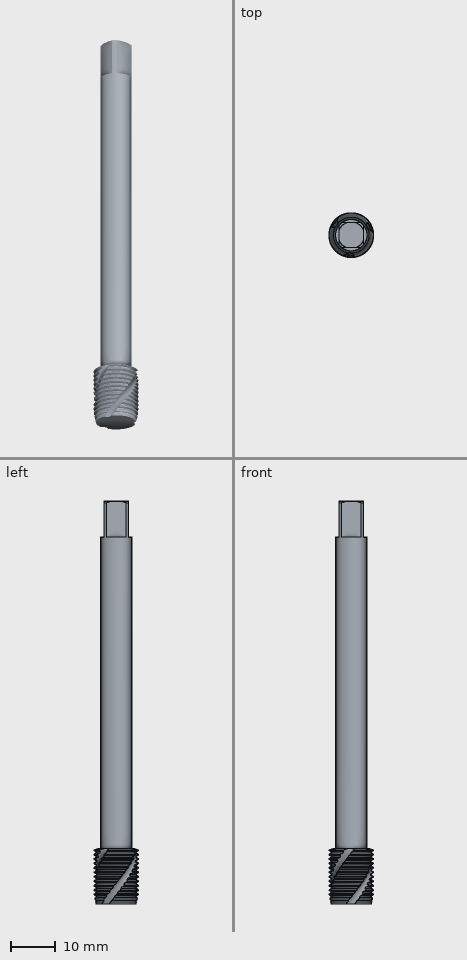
import cadquery as cq
import math

total_length = 90.0

shank_diameter = 7.0
drive_width = 5.6
drive_length = 8.0
drive_chamfer_height = 0.4
drive_chamfer_inset = 0.5

head_length = 12.4
thread_diameter = 10.0
thread_root_diameter = 9.0
thread_pitch = 1.0
thread_crest_width = 0.13
thread_half_angle = 30.0
shoulder_diameter = 8.0
shoulder_cone_height = 0.4
lead_cone_height = 2.5

flute_count = 3
flute_depth = 1.1
flute_radius = 1.2
flute_twist = 120.0
flute_start_angle = -93.0
flute_overrun = 0.9


def make_shank():
    """Round shank standing on the head, with a square drive on top."""
    length = total_length - head_length
    radius = shank_diameter / 2
    shank = (
        cq.Workplane("XY", origin=(0, 0, head_length))
        .circle(radius)
        .extrude(length)
        .faces(">Z")
        .chamfer(drive_chamfer_height, drive_chamfer_inset)
    )
    drive_flats = (
        cq.Workplane("XY", origin=(0, 0, total_length - drive_length))
        .circle(shank_diameter)
        .rect(drive_width, drive_width)
        .extrude(drive_length)
    )
    return shank.cut(drive_flats)


def make_head_blank():
    """Solid of revolution: lead cone below, cylinder, shoulder cone on top."""
    return (
        cq.Workplane("XZ")
        .moveTo(0, 0)
        .lineTo(thread_root_diameter / 2, 0)
        .lineTo(thread_diameter / 2, lead_cone_height)
        .lineTo(thread_diameter / 2, head_length - shoulder_cone_height)
        .lineTo(shoulder_diameter / 2, head_length)
        .lineTo(0, head_length)
        .close()
        .revolve(360, (0, 0, 0), (0, 1, 0))
    )


def make_thread_grooves():
    """Ring-shaped grooves between narrow thread crests, spaced one pitch apart."""
    crest_radius = thread_diameter / 2
    root_radius = thread_root_diameter / 2
    flank_height = (crest_radius - root_radius) * math.tan(math.radians(thread_half_angle))
    half_crest = thread_crest_width / 2
    top_crest = head_length - shoulder_cone_height
    groove_count = math.ceil(top_crest / thread_pitch)
    grooves = []
    for index in range(groove_count):
        upper = top_crest - index * thread_pitch
        lower = upper - thread_pitch
        groove = (
            cq.Workplane("XZ")
            .moveTo(crest_radius, upper - half_crest)
            .lineTo(root_radius, upper - half_crest - flank_height)
            .lineTo(root_radius, lower + half_crest + flank_height)
            .lineTo(crest_radius, lower + half_crest)
            .close()
            .revolve(360, (0, 0, 0), (0, 1, 0))
        )
        grooves.append(groove.val())
    return cq.Workplane(cq.Compound.makeCompound(grooves))


def make_flute(start_angle):
    """Round-bottomed helical cutter for one flute, turning counter-clockwise going up.

    It runs past both ends of the head, and start_angle is where it crosses the bottom face.
    """
    centre_radius = thread_diameter / 2 - flute_depth + flute_radius
    twist_rate = flute_twist / head_length
    cutter_length = head_length + 2 * flute_overrun
    cutter_angle = start_angle - twist_rate * flute_overrun
    return (
        cq.Workplane("XY", origin=(0, 0, -flute_overrun))
        .moveTo(centre_radius, 0)
        .circle(flute_radius)
        .twistExtrude(cutter_length, twist_rate * cutter_length)
        .rotate((0, 0, 0), (0, 0, 1), cutter_angle)
    )


def make_head():
    """Threaded head: flutes first, then the thread grooves between them."""
    head = make_head_blank()
    for index in range(flute_count):
        head = head.cut(make_flute(flute_start_angle + index * 360 / flute_count))
    return head.cut(make_thread_grooves())


shank = make_shank()
head = make_head()

result = cq.Compound.makeCompound([shank.val(), head.val()])